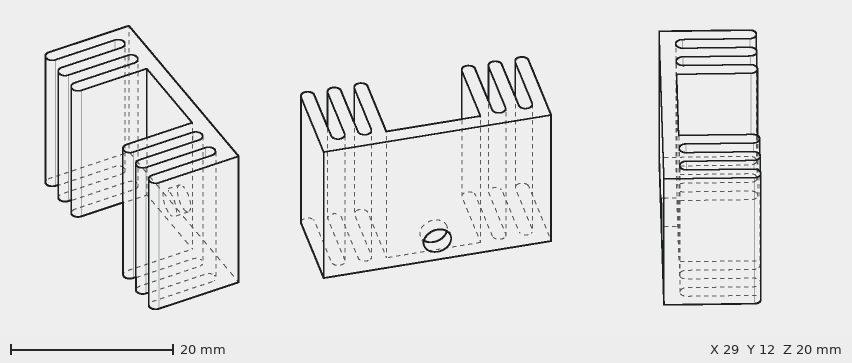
import cadquery as cq

WIDTH = 29.0
DEPTH = 12.0
HEIGHT = 20.0

BASE_THICKNESS = 2.0
CHANNEL_WIDTH = 12.0
FINS_PER_SIDE = 3

HOLE_DIAMETER = 3.5
HOLE_HEIGHT = 3.0

SLOTS_PER_SIDE = FINS_PER_SIDE - 1
SIDE_WIDTH = (WIDTH - CHANNEL_WIDTH) / 2
FIN_WIDTH = SIDE_WIDTH / (FINS_PER_SIDE + SLOTS_PER_SIDE)
FIN_RADIUS = FIN_WIDTH / 2
FIN_PITCH = 2 * FIN_WIDTH
INNER_FIN_X = CHANNEL_WIDTH / 2 + FIN_RADIUS

BACK_Y = DEPTH / 2
FRONT_Y = -DEPTH / 2
BASE_FRONT_Y = BACK_Y - BASE_THICKNESS


def box_between(x_center, width, y_front, y_back):
    """Full-height block centred on x_center, spanning y_front to y_back."""
    return (
        cq.Workplane("XY")
        .center(x_center, (y_front + y_back) / 2)
        .rect(width, y_back - y_front)
        .extrude(HEIGHT)
    )


def round_column(x, y):
    """Full-height cylinder with the radius shared by fin tips and slot ends."""
    return cq.Workplane("XY").center(x, y).circle(FIN_RADIUS).extrude(HEIGHT)


def fin_side(direction):
    """Fins on one side of the channel (direction is +1 or -1 along X)."""
    side_x = direction * (CHANNEL_WIDTH + SIDE_WIDTH) / 2
    tip_y = FRONT_Y + FIN_RADIUS
    slot_end_y = BASE_FRONT_Y - FIN_RADIUS

    side = box_between(side_x, SIDE_WIDTH, tip_y, BACK_Y)
    for i in range(SLOTS_PER_SIDE):
        slot_x = direction * (INNER_FIN_X + FIN_WIDTH + i * FIN_PITCH)
        side = side.cut(box_between(slot_x, FIN_WIDTH, FRONT_Y, slot_end_y))
        side = side.cut(round_column(slot_x, slot_end_y))
    for i in range(FINS_PER_SIDE):
        side = side.union(round_column(direction * (INNER_FIN_X + i * FIN_PITCH), tip_y))
    return side


def mounting_hole():
    """Cylinder along Y that pierces the base plate inside the channel."""
    return (
        cq.Workplane("XZ", origin=(0, BACK_Y, 0))
        .center(0, HOLE_HEIGHT)
        .circle(HOLE_DIAMETER / 2)
        .extrude(BASE_THICKNESS)
    )


base_plate = box_between(0, WIDTH, BASE_FRONT_Y, BACK_Y)
result = base_plate.union(fin_side(1)).union(fin_side(-1)).cut(mounting_hole()).clean()